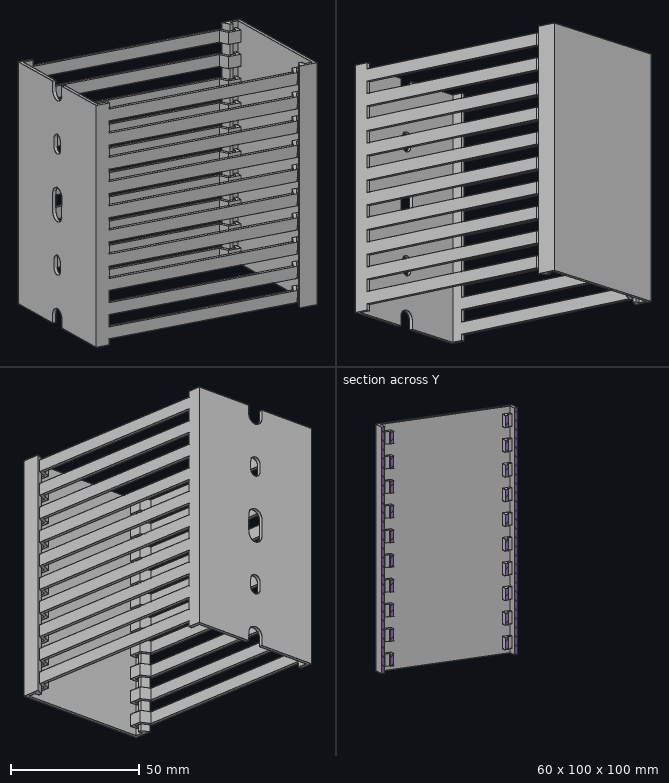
import cadquery as cq
import math

WIDTH = 60.0
DEPTH = 100.0
LENGTH = 100.0

WALL = 1.5

SLAT_PITCH = 10.0
SLAT_WIDTH = 5.0
SLAT_GAP = SLAT_PITCH - SLAT_WIDTH
SLAT_COUNT = round(LENGTH / SLAT_PITCH)
SOLID_RIM = 6.0

JOINT_ANGLE = math.radians(25)
SHOULDER_DROP = 9.0
SHOULDER_THICKNESS = WALL / math.cos(JOINT_ANGLE)
HOOK_INSET = 4.0
HOOK_INNER_INSET = HOOK_INSET + WALL
HOOK_TIP_INSET = 2.0
HOOK_TOP_DROP = 2.5
HOOK_ARM_DROP = HOOK_TOP_DROP + WALL
LIP_DROP = 8.0
LIP_TOP_DROP = 4.9
LIP_INSET = 3.5

LARGE_SLOT_LENGTH = 14.0
LARGE_SLOT_WIDTH = 7.0
LARGE_SLOT_CENTRES = (-LENGTH / 2, 0, LENGTH / 2)
SMALL_SLOT_LENGTH = 8.0
SMALL_SLOT_WIDTH = 5.0
SMALL_SLOT_CENTRES = (-LENGTH / 4, LENGTH / 4)


def extrude_mirrored(side_outline):
    """Extrude the section whose +X half is given as (inset, drop) points; the -X half mirrors it."""
    right = [(WIDTH / 2 - inset, DEPTH - drop) for inset, drop in side_outline]
    left = [(-x, y) for x, y in reversed(right)]
    return cq.Workplane("XY").polyline(right + left).close().extrude(LENGTH / 2, both=True)


def slope_drop(start_drop, inset):
    """Drop, at an inset, of a joint slope that starts from the outer side face."""
    return start_drop - inset * math.tan(JOINT_ANGLE)


def trunking_section():
    """Trunking as a plain extrusion, before any slots."""
    shoulder_inner_drop = SHOULDER_DROP + SHOULDER_THICKNESS
    outside = [
        (0, DEPTH),
        (0, SHOULDER_DROP),
        (HOOK_INSET, slope_drop(SHOULDER_DROP, HOOK_INSET)),
        (HOOK_INSET, HOOK_ARM_DROP),
        (HOOK_TIP_INSET, HOOK_ARM_DROP),
    ]
    inside = [
        (HOOK_TIP_INSET, HOOK_TOP_DROP),
        (HOOK_INNER_INSET, HOOK_TOP_DROP),
        (HOOK_INNER_INSET, slope_drop(shoulder_inner_drop, HOOK_INNER_INSET)),
        (WALL, slope_drop(shoulder_inner_drop, WALL)),
        (WALL, DEPTH - WALL),
    ]
    return extrude_mirrored(outside + inside)


def slat_gap(centre_z):
    """Slot through both sides, open at the back, next to a slat."""
    gap_depth = DEPTH - SOLID_RIM
    centre = (0, SOLID_RIM + gap_depth / 2, centre_z)
    return cq.Workplane("XY").box(WIDTH, gap_depth, SLAT_GAP).translate(centre)


def mounting_slots(length, width, centres):
    """Round-ended slots through the front wall, centred on X = 0."""
    return (
        cq.Workplane("XZ")
        .pushPoints([(0, z) for z in centres])
        .slot2D(length, width, 90)
        .extrude(-WALL)
    )


def make_trunking():
    """Slotted trunking, open at the back, with slats that end in snap hooks."""
    trunking = trunking_section()
    for i in range(SLAT_COUNT + 1):
        trunking = trunking.cut(slat_gap(i * SLAT_PITCH - LENGTH / 2))
    trunking = trunking.cut(mounting_slots(LARGE_SLOT_LENGTH, LARGE_SLOT_WIDTH, LARGE_SLOT_CENTRES))
    return trunking.cut(mounting_slots(SMALL_SLOT_LENGTH, SMALL_SLOT_WIDTH, SMALL_SLOT_CENTRES))


def make_cover():
    """Snap-on cover whose sloped lips reach under the hooks."""
    side = [
        (0, 0),
        (0, LIP_DROP),
        (LIP_INSET, slope_drop(LIP_DROP, LIP_INSET)),
        (LIP_INSET, LIP_TOP_DROP),
        (WALL, LIP_TOP_DROP),
        (WALL, WALL),
    ]
    return extrude_mirrored(side)


trunking = make_trunking()
cover = make_cover()
result = cq.Compound.makeCompound([trunking.val(), cover.val()])